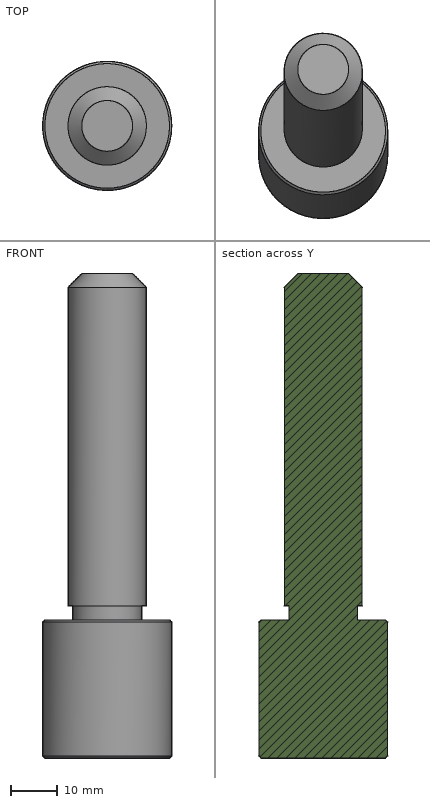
import cadquery as cq

head_diameter = 28.0
head_height = 30.0
head_chamfer = 0.5

neck_diameter = 15.0
neck_height = 3.0

overall_length = 105.0
shank_diameter = 17.0
shank_length = overall_length - head_height - neck_height
tip_chamfer = 3.0


def cylinder(diameter, height, base_z):
    """Upright cylinder on the Z axis, standing on base_z."""
    return cq.Workplane("XY").workplane(offset=base_z).circle(diameter / 2).extrude(height)


def make_head():
    """Head with a small chamfer around both rims."""
    return cylinder(head_diameter, head_height, 0).faces("<Z or >Z").chamfer(head_chamfer)


def make_neck():
    return cylinder(neck_diameter, neck_height, head_height)


def make_shank():
    """Plain pin with a lead-in chamfer at its free end."""
    shank = cylinder(shank_diameter, shank_length, head_height + neck_height)
    return shank.faces(">Z").chamfer(tip_chamfer)


result = make_head().union(make_neck()).union(make_shank())